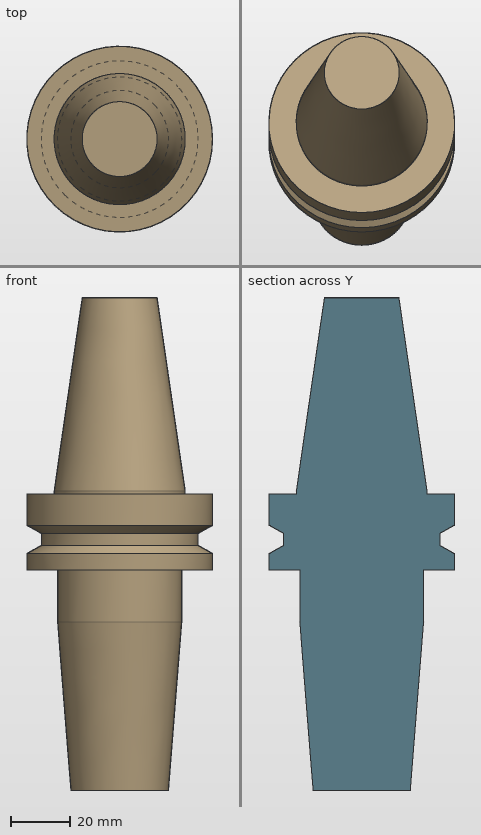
import cadquery as cq

total_length = 167.0

shank_length = 65.5
shank_small_radius = 12.7
shank_large_radius = 22.2
shank_collar_length = 1.0

flange_diameter = 63.0
flange_radius = flange_diameter / 2
flange_thickness = 25.9
flange_upper_rim = 10.7
flange_lower_rim = 5.7
groove_radius = 26.5
groove_floor_width = 4.0

neck_radius = 21.0
neck_length = 17.5
nose_small_radius = 16.5

shank_base = total_length - shank_length
flange_top = shank_base - shank_collar_length
flange_bottom = flange_top - flange_thickness
nose_top = flange_bottom - neck_length

groove_top = flange_top - flange_upper_rim
groove_bottom = flange_bottom + flange_lower_rim
groove_wall_height = (groove_top - groove_bottom - groove_floor_width) / 2

half_section = [
    (0, 0),
    (nose_small_radius, 0),
    (neck_radius, nose_top),
    (neck_radius, flange_bottom),
    (flange_radius, flange_bottom),
    (flange_radius, groove_bottom),
    (groove_radius, groove_bottom + groove_wall_height),
    (groove_radius, groove_top - groove_wall_height),
    (flange_radius, groove_top),
    (flange_radius, flange_top),
    (shank_large_radius, flange_top),
    (shank_large_radius, shank_base),
    (shank_small_radius, total_length),
    (0, total_length),
]

result = cq.Workplane("XZ").polyline(half_section).close().revolve(360, (0, 0), (0, 1))